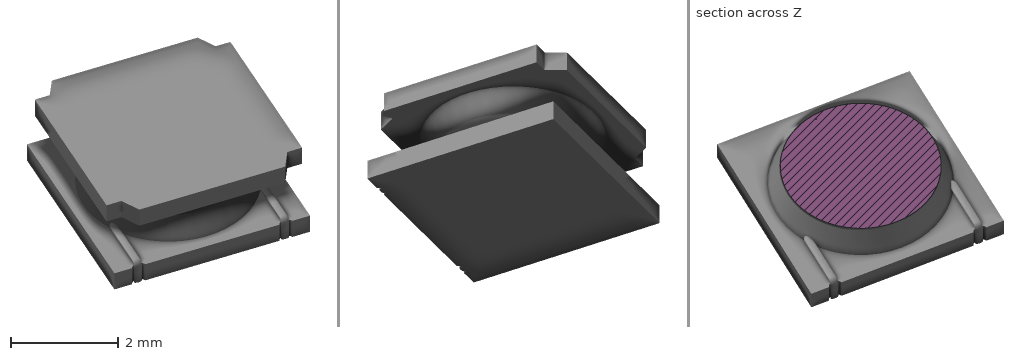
import cadquery as cq
side = 4.0
height = 1.8
plate_thickness = 0.4
half_side = side / 2
core_height = height - 2 * plate_thickness

core_end_radius = 1.745
waist_radius = 1.495
waist_fillet = 0.1

relief_x = 0.36
relief_y_inner = 0.305
relief_y_outer = 0.51

wire_thickness = 0.07
wire_width = 0.16
wire_y = 1.505
wire_z = 0.47
plate_bend = 0.095
core_bend = 0.09
lead_down_x = half_side - wire_thickness / 2
lead_core_x = 0.785
lead_core_length = 0.16

notch_corner = 0.1
notch_depth = 0.07
notch_width = 0.27


def lower_plate():
    plate = cq.Workplane("XY").box(side, side, plate_thickness, centered=(True, True, False))
    notch_x = half_side - notch_depth + notch_corner
    notches = (
        cq.Workplane("XY")
        .pushPoints([(notch_x, -wire_y), (notch_x, wire_y)])
        .slot2D(notch_width, 2 * notch_corner, 90)
        .extrude(plate_thickness)
    )
    return plate.cut(notches)


def upper_plate():
    plate = (
        cq.Workplane("XY")
        .workplane(offset=height - plate_thickness)
        .rect(side, side)
        .extrude(plate_thickness)
    )
    for x_sign in (-1, 1):
        for y_sign in (-1, 1):
            corner = [
                (half_side, half_side),
                (half_side - relief_x, half_side),
                (half_side - relief_x, half_side - relief_y_inner),
                (half_side, half_side - relief_y_outer),
            ]
            relief = (
                cq.Workplane("XY")
                .polyline([(x_sign * x, y_sign * y) for x, y in corner])
                .close()
                .extrude(height)
            )
            plate = plate.cut(relief)
    return plate


def core():
    """Two cones meeting at a waist, with the waist rounded."""
    half_core = core_height / 2
    cones = (
        cq.Workplane("XZ")
        .moveTo(0, plate_thickness)
        .lineTo(core_end_radius, plate_thickness)
        .lineTo(waist_radius, plate_thickness + half_core)
        .lineTo(core_end_radius, height - plate_thickness)
        .lineTo(0, height - plate_thickness)
        .close()
        .revolve(360, (0, 0, 0), (0, 1, 0))
    )
    waist_edge = cq.selectors.BoxSelector(
        (-side, -side, height / 2 - waist_fillet),
        (side, side, height / 2 + waist_fillet),
        boundingbox=True,
    )
    return cones.edges(waist_edge).fillet(waist_fillet)


def wire_lead():
    """Lead at -Y: up through the notch, along X, then turning into the core."""
    rise_end = cq.Vector(lead_down_x, -wire_y, wire_z - plate_bend)
    run_start = cq.Vector(lead_down_x - plate_bend, -wire_y, wire_z)
    run_end = cq.Vector(lead_core_x + core_bend, -wire_y, wire_z)
    turn_end = cq.Vector(lead_core_x, -wire_y + core_bend, wire_z)
    foot = cq.Vector(lead_down_x, -wire_y, 0)
    path = cq.Wire.assembleEdges([
        cq.Edge.makeLine(foot, rise_end),
        cq.Edge.makeTangentArc(rise_end, cq.Vector(0, 0, 1), run_start),
        cq.Edge.makeLine(run_start, run_end),
        cq.Edge.makeTangentArc(run_end, cq.Vector(-1, 0, 0), turn_end),
        cq.Edge.makeLine(turn_end, turn_end + cq.Vector(0, lead_core_length, 0)),
    ])
    return (
        cq.Workplane("XY")
        .center(lead_down_x, -wire_y)
        .ellipse(wire_thickness / 2, wire_width / 2)
        .sweep(cq.Workplane(path))
    )


lead = wire_lead()
result = lower_plate().union(core()).union(upper_plate())
result = result.union(lead).union(lead.mirror("XZ"))